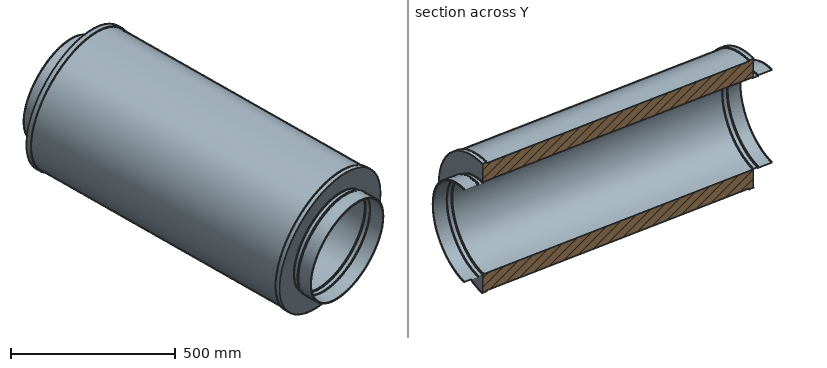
import cadquery as cq

length = 1102.0
band_diameter = 500.0
casing_diameter = 494.0
collar_diameter = 361.0
neck_diameter = 355.0
neck_bore_diameter = 349.0
pipe_bore_diameter = 355.0

collar_length = 51.0
neck_length = 14.0
band_width = 17.0
sheet_thickness = (neck_diameter - neck_bore_diameter) / 2

half_length = length / 2
neck_start = half_length - collar_length
band_face = neck_start - neck_length
casing_end = band_face - band_width

throat_outer = neck_start + sheet_thickness
throat_inner = band_face - sheet_thickness


def centred_cylinder(diameter, end):
    """Cylinder along X reaching equally far on both sides of the origin."""
    return cq.Workplane("YZ").circle(diameter / 2).extrude(end, both=True)


def paired_rings(diameter, inner_end, outer_end):
    """Two short cylinders along X, mirrored about the middle of the part."""
    ring = cq.Workplane("YZ").workplane(offset=inner_end).circle(diameter / 2).extrude(outer_end - inner_end)
    return ring.union(ring.mirror("YZ"))


silencer = centred_cylinder(casing_diameter, band_face)
silencer = silencer.union(paired_rings(band_diameter, casing_end, band_face))
silencer = silencer.union(centred_cylinder(neck_diameter, neck_start))
silencer = silencer.union(paired_rings(collar_diameter, neck_start, half_length))

silencer = silencer.cut(centred_cylinder(neck_bore_diameter, half_length))
silencer = silencer.cut(centred_cylinder(pipe_bore_diameter, throat_inner))
silencer = silencer.cut(paired_rings(pipe_bore_diameter, throat_outer, half_length))

result = silencer